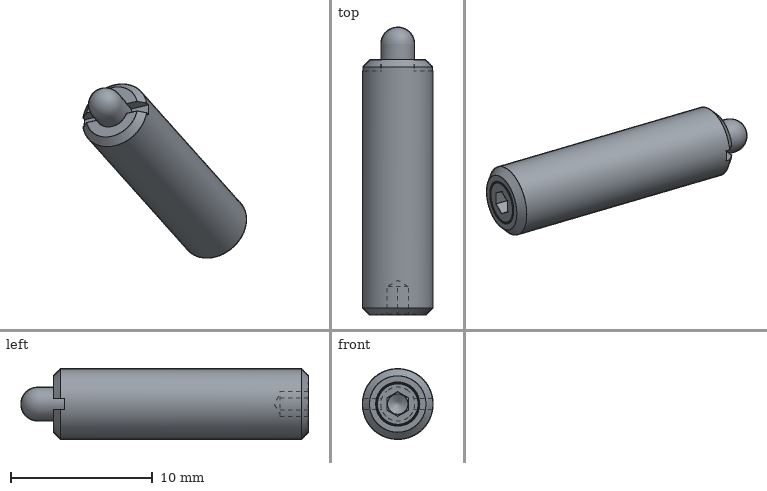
import cadquery as cq
import math

total_length = 20.3
body_diameter = 5.0
body_length = 18.0
body_chamfer = 0.5

pin_diameter = 2.4

slot_width = 0.8
slot_depth = 0.8

bore_diameter = 2.98
groove_chamfer = 0.06

hex_across_flats = 1.5
hex_depth = 2.0
drill_diameter = 1.45
drill_point_angle = 118.0

socket_face = -total_length / 2
pin_face = socket_face + body_length
pin_tip = total_length / 2


def make_body():
    """Solid cylinder with a chamfer at both ends."""
    return (
        cq.Workplane("XZ", origin=(0, socket_face, 0))
        .circle(body_diameter / 2)
        .extrude(-body_length)
        .edges("%CIRCLE")
        .chamfer(body_chamfer)
    )


def make_pin():
    """Round-nosed pin rising from the slot floor, through the slot, to the tip."""
    pin_radius = pin_diameter / 2
    pin_root = pin_face - slot_depth
    nose_center = pin_tip - pin_radius
    nose_mid = pin_radius * math.sqrt(0.5)
    return (
        cq.Workplane("XY")
        .moveTo(0, pin_root)
        .lineTo(pin_radius, pin_root)
        .lineTo(pin_radius, nose_center)
        .threePointArc((nose_mid, nose_center + nose_mid), (0, pin_tip))
        .close()
        .revolve(360, (0, 0, 0), (0, 1, 0))
    )


def make_driver_slot():
    """Slot across the body along X."""
    slot_center = pin_face - slot_depth / 2
    return cq.Workplane("XY").box(body_diameter, slot_depth, slot_width).translate((0, slot_center, 0))


def make_groove():
    """V-shaped ring where the chamfers of the socket insert and the body bore meet."""
    bore_radius = bore_diameter / 2
    return (
        cq.Workplane("XY")
        .moveTo(bore_radius - groove_chamfer, socket_face)
        .lineTo(bore_radius + groove_chamfer, socket_face)
        .lineTo(bore_radius, socket_face + groove_chamfer)
        .close()
        .revolve(360, (0, 0, 0), (0, 1, 0))
    )


def make_hex_socket():
    """Hex hole with corners toward +Z and -Z, ending in a conical drill point."""
    corner_diameter = hex_across_flats / math.cos(math.pi / 6)
    hexagon = (
        cq.Workplane("XZ", origin=(0, socket_face, 0))
        .transformed(rotate=(0, 0, 90))
        .polygon(6, corner_diameter)
        .extrude(-hex_depth)
    )
    drill_radius = drill_diameter / 2
    drill_height = drill_radius / math.tan(math.radians(drill_point_angle / 2))
    hex_bottom = socket_face + hex_depth
    drill_point = cq.Workplane(
        cq.Solid.makeCone(
            drill_radius, 0, drill_height,
            pnt=cq.Vector(0, hex_bottom, 0), dir=cq.Vector(0, 1, 0),
        )
    )
    return hexagon.union(drill_point)


result = (
    make_body()
    .cut(make_driver_slot())
    .union(make_pin())
    .cut(make_groove())
    .cut(make_hex_socket())
)